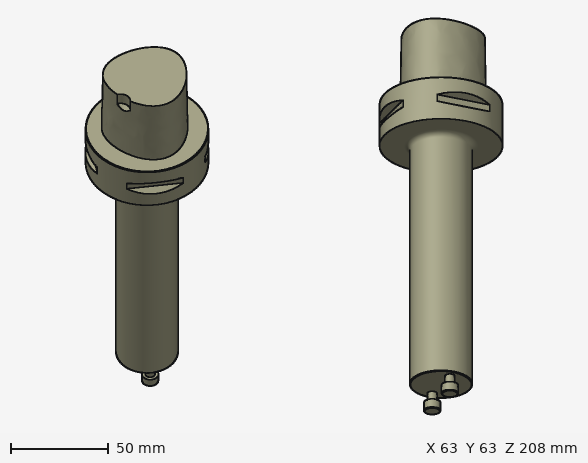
import cadquery as cq
import math


TAPER_HEIGHT = 37.9
BASE_RADIUS = 22.0
TIP_RADIUS = 21.5
LOBE_RISE = 1.2
LOBE_CURVE_POINTS = 24

NOTCH_RADIUS = 5.0
NOTCH_AXIS_DISTANCE = 22.7
NOTCH_STRAIGHT_LENGTH = 6.7
NOTCH_POINT_LENGTH = 3.7

FLANGE_DIAMETER = 63.0
FLANGE_HEIGHT = 24.0
FLANGE_CHAMFER = 0.5

GROOVE_COUNT = 4
GROOVE_FLOOR_DISTANCE = 27.9
GROOVE_FLOOR_WIDTH = 3.7
GROOVE_WALL_ANGLE = 30
GROOVE_CLEARANCE = 2.0

BAR_DIAMETER = 32.0
BAR_FILLET = 3.0
BAR_CHAMFER = 0.5

SCREW_SPACING = 15.5
SCREW_DIAMETER = 5.0
SCREW_NECK_LENGTH = 5.2
HEAD_DIAMETER = 8.5
HEAD_HEIGHT = 5.0
HEAD_CHAMFER = 0.5

TOTAL_LENGTH = 208.0
BAR_END = TAPER_HEIGHT - TOTAL_LENGTH + SCREW_NECK_LENGTH + HEAD_HEIGHT


def lobed_point(turn, mean_radius):
    """Point of a three-lobed hypotrochoid with one lobe toward +Y."""
    angle = 2 * math.pi * turn
    x = LOBE_RISE * math.sin(2 * angle) - mean_radius * math.sin(angle)
    y = mean_radius * math.cos(angle) + LOBE_RISE * math.cos(2 * angle)
    return x, y


def make_taper():
    def outline(plane, mean_radius):
        points = [lobed_point(index / LOBE_CURVE_POINTS, mean_radius) for index in range(LOBE_CURVE_POINTS)]
        return plane.spline(points, periodic=True).close()

    base = outline(cq.Workplane("XY"), BASE_RADIUS)
    return outline(base.workplane(offset=TAPER_HEIGHT), TIP_RADIUS).loft()


def make_notch():
    """Round notch with a conical end, running down from the free end on the -Y side."""
    return (
        cq.Workplane("XZ", origin=(0, -NOTCH_AXIS_DISTANCE, TAPER_HEIGHT))
        .lineTo(NOTCH_RADIUS, 0)
        .lineTo(NOTCH_RADIUS, -NOTCH_STRAIGHT_LENGTH)
        .lineTo(0, -NOTCH_STRAIGHT_LENGTH - NOTCH_POINT_LENGTH)
        .close()
        .revolve(360, (0, 0, 0), (0, 1, 0))
    )


def make_body():
    """Flange and bar as one turned profile, with the fillet between them."""
    flange_radius = FLANGE_DIAMETER / 2
    bar_radius = BAR_DIAMETER / 2
    fillet_mid = BAR_FILLET * (1 - math.sqrt(0.5))
    return (
        cq.Workplane("XZ")
        .lineTo(flange_radius - FLANGE_CHAMFER, 0)
        .lineTo(flange_radius, -FLANGE_CHAMFER)
        .lineTo(flange_radius, -FLANGE_HEIGHT)
        .lineTo(bar_radius + BAR_FILLET, -FLANGE_HEIGHT)
        .threePointArc(
            (bar_radius + fillet_mid, -FLANGE_HEIGHT - fillet_mid),
            (bar_radius, -FLANGE_HEIGHT - BAR_FILLET),
        )
        .lineTo(bar_radius, BAR_END + BAR_CHAMFER)
        .lineTo(bar_radius - BAR_CHAMFER, BAR_END)
        .lineTo(0, BAR_END)
        .close()
        .revolve(360, (0, 0, 0), (0, 1, 0))
    )


def make_grooves():
    """Trapezoidal grooves cut straight across the flange, midway between the X and Y axes."""
    outer_distance = FLANGE_DIAMETER / 2 + GROOVE_CLEARANCE
    floor_half = GROOVE_FLOOR_WIDTH / 2
    flare = (outer_distance - GROOVE_FLOOR_DISTANCE) * math.tan(math.radians(GROOVE_WALL_ANGLE))
    groove = (
        cq.Workplane("XZ", origin=(0, 0, -FLANGE_HEIGHT / 2))
        .moveTo(GROOVE_FLOOR_DISTANCE, floor_half)
        .lineTo(outer_distance, floor_half + flare)
        .lineTo(outer_distance, -floor_half - flare)
        .lineTo(GROOVE_FLOOR_DISTANCE, -floor_half)
        .close()
        .extrude(FLANGE_DIAMETER / 2, both=True)
    )
    return [
        groove.rotate((0, 0, 0), (0, 0, 1), (index + 0.5) * 360 / GROOVE_COUNT)
        for index in range(GROOVE_COUNT)
    ]


def make_screw(x, y):
    head_bottom = TAPER_HEIGHT - TOTAL_LENGTH
    head = (
        cq.Workplane("XY", origin=(x, y, head_bottom))
        .circle(HEAD_DIAMETER / 2)
        .extrude(HEAD_HEIGHT)
        .faces("<Z")
        .chamfer(HEAD_CHAMFER)
    )
    neck = (
        cq.Workplane("XY", origin=(x, y, head_bottom))
        .circle(SCREW_DIAMETER / 2)
        .extrude(HEAD_HEIGHT + SCREW_NECK_LENGTH)
    )
    return head.union(neck)


result = make_body()
for groove in make_grooves():
    result = result.cut(groove)
result = result.union(make_taper().cut(make_notch()))
for x in (-SCREW_SPACING / 2, SCREW_SPACING / 2):
    result = result.union(make_screw(x, -x))